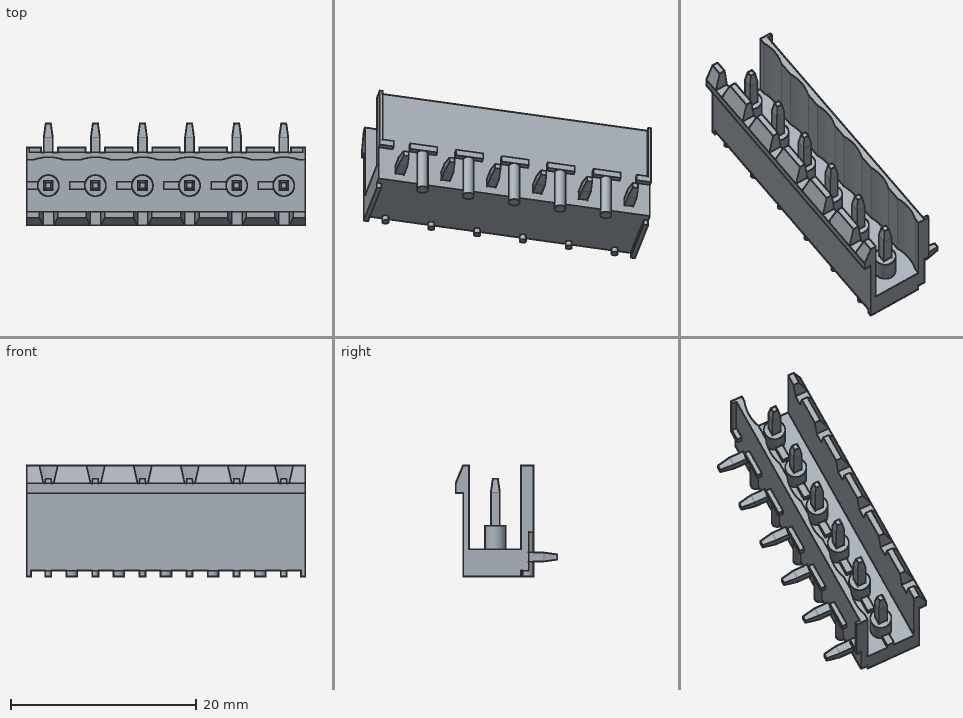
import cadquery as cq


contact_count = 6
pitch = 5.08
housing_length = 30.08
end_margin = (housing_length - (contact_count - 1) * pitch) / 2
contact_xs = [end_margin + i * pitch for i in range(contact_count)]
wall_shift = 0.03
midway_xs = [x + pitch / 2 for x in contact_xs[:-1]]

height = 12.0
front_wall = 0.65
cavity_back = 6.25
back_face = 7.07
floor_top = 2.95
standoff = 0.63
end_leg = 0.48

latch_depth = 0.8
latch_bottom = 9.0
latch_shoulder = 10.05
notch_top_width = 2.0
notch_bottom_width = 1.1

scallop_width = 3.37
scallop_depth = 0.3

rear_reach = 7.6
flange_thickness = 0.3
flange_bottom = 4.78
ledge_gap = 2.08
end_ledge_limit = 1.55

rear_post_diameter = 1.2
front_post_diameter = 0.7

boss_diameter = 2.3
boss_top = 5.5
ledge_top = boss_top
rib_width = 0.8
rib_top = 3.5
rib_reach = 2.77

bar_size = 1.0
tip_size = 0.57
bend_y = 3.5
bend_z = 2.1
mating_shoulder = 9.1
mating_tip = 10.55
solder_shoulder = 8.7
solder_tip = 10.2


def block(x_range, y_range, z_range):
    """Rectangular block filling the given ranges."""
    (x0, x1), (y0, y1), (z0, z1) = x_range, y_range, z_range
    return cq.Workplane("XY", origin=(x0, y0, z0)).box(x1 - x0, y1 - y0, z1 - z0, centered=False)


def upright_cylinder(x, y, diameter, bottom, top):
    """Cylinder along Z between two levels."""
    return cq.Workplane("XY", origin=(x, y, bottom)).circle(diameter / 2).extrude(top - bottom)


def make_shell():
    """Trough with a latch lip on its front wall, open at both ends and raised on end legs."""
    profile = [
        (0, 0),
        (cavity_back, 0),
        (cavity_back, standoff),
        (back_face, standoff),
        (back_face, height),
        (cavity_back, height),
        (cavity_back, floor_top),
        (front_wall, floor_top),
        (front_wall, height),
        (0, height),
        (-latch_depth, latch_shoulder),
        (-latch_depth, latch_bottom),
        (0, latch_bottom),
    ]
    shell = cq.Workplane("YZ").polyline(profile).close().extrude(housing_length)
    underside = block((end_leg, housing_length - end_leg), (0, cavity_back), (0, standoff))
    return shell.cut(underside)


def latch_notch(x):
    """Cutter for the tapered gap through the top of the front wall."""
    outline = [
        (x - notch_bottom_width / 2, latch_shoulder),
        (x + notch_bottom_width / 2, latch_shoulder),
        (x + notch_top_width / 2, height),
        (x - notch_top_width / 2, height),
    ]
    inner_face = cq.Workplane("XZ", origin=(0, front_wall, 0))
    return inner_face.polyline(outline).close().extrude(front_wall + latch_depth)


def scallop(x):
    """Cutter for the arc-shaped hollow in the back wall behind a contact."""
    half_width = scallop_width / 2
    return (
        cq.Workplane("XY", origin=(x, cavity_back, floor_top))
        .moveTo(-half_width, 0)
        .threePointArc((0, scallop_depth), (half_width, 0))
        .close()
        .extrude(height - floor_top)
    )


def boss_with_rib(x):
    """Round boss around a contact, with a coding rib on its -X side that stops at the housing end."""
    boss = upright_cylinder(x, bend_y, boss_diameter, floor_top, boss_top)
    rib_sides = (bend_y - rib_width / 2, bend_y + rib_width / 2)
    rib = block((max(x - rib_reach, 0), x), rib_sides, (floor_top, rib_top))
    return boss.union(rib)


def front_post(x):
    """Small post under the housing, touching the plane of the front face."""
    return upright_cylinder(x, front_post_diameter / 2, front_post_diameter, 0, standoff)


def rear_post(x):
    """Post half sunk in the back wall, from the lowest plane up to the ledge."""
    y = rear_reach - rear_post_diameter / 2
    return upright_cylinder(x, y, rear_post_diameter, 0, flange_bottom)


def rear_pad(x0, x1, top):
    """Pad on the outside of the back wall, from the flange bottom to the given level."""
    return block((x0, x1), (back_face, rear_reach), (flange_bottom, top))


def end_rear_pads():
    """Full-height flange and short ledge at each end of the back wall."""
    far_end = housing_length
    return [
        rear_pad(0, flange_thickness, height),
        rear_pad(far_end - flange_thickness, far_end, height),
        rear_pad(flange_thickness, end_ledge_limit, ledge_top),
        rear_pad(far_end - end_ledge_limit, far_end - flange_thickness, ledge_top),
    ]


def make_contact(x):
    """Bent square bar with a tapered mating end (+Z) and a tapered solder end (+Y)."""
    half = bar_size / 2
    sides = (x - half, x + half)
    front = bend_y - half
    bottom = bend_z - half
    upright = block(sides, (front, bend_y + half), (bottom, mating_shoulder))
    tail = block(sides, (front, solder_shoulder), (bottom, bend_z + half))
    mating_end = tapered_tip(upright.faces(">Z"), mating_tip - mating_shoulder)
    solder_end = tapered_tip(tail.faces(">Y"), solder_tip - solder_shoulder)
    return upright.union(tail).union(mating_end).union(solder_end)


def tapered_tip(end_face, length):
    """Square taper growing outward from the end face of a bar."""
    return (
        end_face.workplane(centerOption="CenterOfMass")
        .rect(bar_size, bar_size)
        .workplane(offset=length)
        .rect(tip_size, tip_size)
        .loft(ruled=True, combine=False)
    )


contacts = [make_contact(x) for x in contact_xs]

housing = make_shell()
for x in contact_xs:
    housing = housing.cut(latch_notch(x + wall_shift)).cut(scallop(x + wall_shift))
    housing = housing.union(boss_with_rib(x)).union(front_post(x))
ledge_half_width = (pitch - ledge_gap) / 2
for x in midway_xs:
    ledge = rear_pad(x - ledge_half_width, x + ledge_half_width, ledge_top)
    housing = housing.union(ledge).union(rear_post(x))
for pad in end_rear_pads():
    housing = housing.union(pad)
for contact in contacts:
    housing = housing.cut(contact)

result = cq.Compound.makeCompound([housing.val(), *[contact.val() for contact in contacts]])